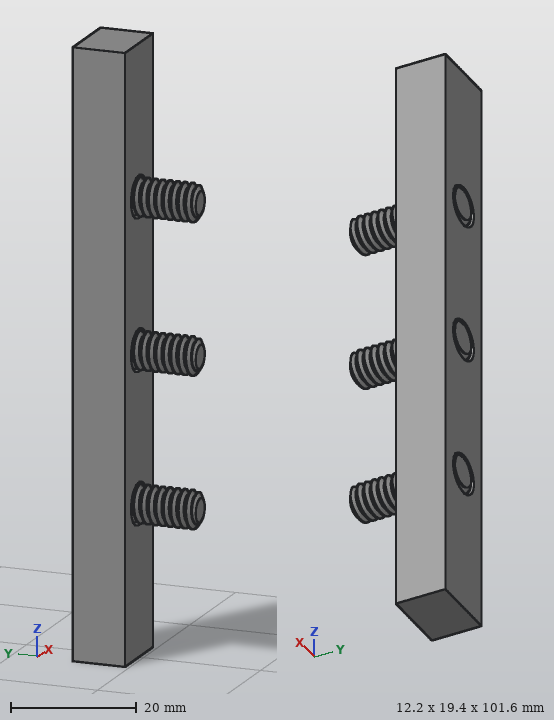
import cadquery as cq
import math

BAR_WIDTH = 12.2
BAR_HEIGHT = 101.6
OVERALL_DEPTH = 19.4
STUD_PROJECTION = 10.5
BAR_DEPTH = OVERALL_DEPTH - STUD_PROJECTION

STUD_COUNT = 3
STUD_SPACING = BAR_HEIGHT / (STUD_COUNT + 1)
STUD_LENGTH = OVERALL_DEPTH
CLEARANCE_HOLE_DIAMETER = 7.0

TURNS_PER_UNIT = 0.7874
THREAD_PITCH = 1 / TURNS_PER_UNIT
THREAD_DIAMETER = 6.3
ROOT_DIAMETER = 4.6
CREST_FLAT = THREAD_PITCH / 8
FLANK_ANGLE = 30.0
THREAD_START_ANGLE = 70.0

TIP_DIAMETER = 4.0
TIP_LENGTH = 0.8

RIDGE_SINK = 0.05
CORE_EXCESS = 3.0
ENVELOPE_MARGIN = 0.1

stud_heights = [(i - (STUD_COUNT - 1) / 2) * STUD_SPACING for i in range(STUD_COUNT)]


def make_bar():
    """Rectangular bar with its front face on Y = 0 and a clearance hole through it for each stud."""
    block = cq.Workplane("XY").box(BAR_WIDTH, BAR_DEPTH, BAR_HEIGHT, centered=(True, False, True))
    holes = (
        cq.Workplane("XZ")
        .pushPoints([(0, height) for height in stud_heights])
        .circle(CLEARANCE_HOLE_DIAMETER / 2)
        .extrude(-BAR_DEPTH)
    )
    return block.cut(holes)


def make_thread_ridge():
    """Helical thread ridge around Z that runs one pitch past both ends of the stud."""
    crest_radius = THREAD_DIAMETER / 2
    base_radius = ROOT_DIAMETER / 2 - RIDGE_SINK
    half_crest = CREST_FLAT / 2
    half_base = half_crest + (crest_radius - base_radius) * math.tan(math.radians(FLANK_ANGLE))
    profile_points = [
        (base_radius, -half_base),
        (crest_radius, -half_crest),
        (crest_radius, half_crest),
        (base_radius, half_base),
    ]
    helix = cq.Wire.makeHelix(THREAD_PITCH, STUD_LENGTH + 2 * THREAD_PITCH, base_radius)
    profile = cq.Workplane("XZ").polyline(profile_points).close()
    ridge = profile.sweep(cq.Workplane(helix), isFrenet=True)
    return ridge.translate((0, 0, -THREAD_PITCH)).rotate((0, 0, 0), (0, 0, 1), THREAD_START_ANGLE)


def make_stud_envelope():
    """Solid that trims the thread to the stud's length and to its conical tip."""
    diameter = THREAD_DIAMETER + 2 * ENVELOPE_MARGIN
    return (
        cq.Workplane("XY")
        .circle(diameter / 2)
        .extrude(STUD_LENGTH)
        .faces(">Z")
        .chamfer(TIP_LENGTH, (diameter - TIP_DIAMETER) / 2)
    )


def make_stud():
    """Threaded stud along -Y, from the back face of the bar to its tip."""
    core = (
        cq.Workplane("XY")
        .workplane(offset=-CORE_EXCESS)
        .circle(ROOT_DIAMETER / 2)
        .extrude(STUD_LENGTH + 2 * CORE_EXCESS)
    )
    upright_stud = core.union(make_thread_ridge()).intersect(make_stud_envelope())
    return upright_stud.rotate((0, 0, 0), (1, 0, 0), 90).translate((0, BAR_DEPTH, 0))


bar = make_bar()

stud = make_stud()
studs = []
for height in stud_heights:
    studs.append(stud.translate((0, 0, height)).val())

result = cq.Compound.makeCompound([bar.val(), *studs])